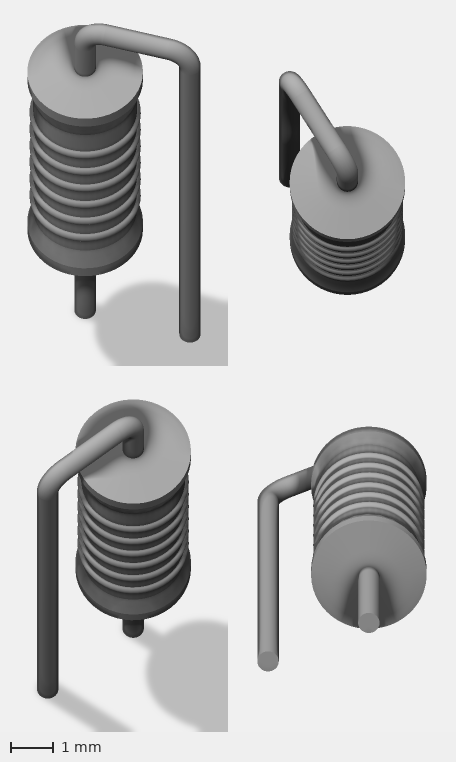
import cadquery as cq

wire_diameter = 0.5
lead_pitch = 2.54
bend_radius = 0.5
lead_bottom_z = -3.0
overall_height = 11.45
top_run_z = lead_bottom_z + overall_height - wire_diameter / 2

cap_diameter = 2.7
barrel_diameter = 2.43
cone_height = 0.15
cap_height = 0.315
flare_height = 0.525
barrel_length = 4.62
body_top_gap = 1.01
body_length = barrel_length + 2 * (flare_height + cap_height + cone_height)
body_top_z = top_run_z - bend_radius - body_top_gap
body_bottom_z = body_top_z - body_length
barrel_top_z = body_top_z - cone_height - cap_height - flare_height

band_count = 6
band_pitch = barrel_length / (band_count + 1)
band_width = 0.264
band_diameter = 2.6


def make_body():
    """Revolve the barrel with its flared end caps and shallow conical ends."""
    wire_radius = wire_diameter / 2
    cap_radius = cap_diameter / 2
    barrel_radius = barrel_diameter / 2
    cap_start_z = body_bottom_z + cone_height
    flare_start_z = cap_start_z + cap_height
    barrel_start_z = flare_start_z + flare_height
    flare_end_z = barrel_top_z + flare_height
    cap_end_z = flare_end_z + cap_height
    return (
        cq.Workplane("XZ")
        .moveTo(0, body_bottom_z)
        .lineTo(wire_radius, body_bottom_z)
        .lineTo(cap_radius, cap_start_z)
        .lineTo(cap_radius, flare_start_z)
        .lineTo(barrel_radius, barrel_start_z)
        .lineTo(barrel_radius, barrel_top_z)
        .lineTo(cap_radius, flare_end_z)
        .lineTo(cap_radius, cap_end_z)
        .lineTo(wire_radius, body_top_z)
        .lineTo(0, body_top_z)
        .close()
        .revolve(360, (0, 0, 0), (0, 1, 0))
    )


def make_band(top_z):
    """Rounded ring around the barrel whose upper edge lies at top_z."""
    barrel_radius = barrel_diameter / 2
    core_radius = wire_diameter / 2
    bottom_z = top_z - band_width
    return (
        cq.Workplane("XZ")
        .moveTo(core_radius, bottom_z)
        .lineTo(barrel_radius, bottom_z)
        .threePointArc((band_diameter / 2, top_z - band_width / 2), (barrel_radius, top_z))
        .lineTo(core_radius, top_z)
        .close()
        .revolve(360, (0, 0, 0), (0, 1, 0))
    )


def make_lead():
    """Sweep one wire up through the body, across and down to the second pin."""
    bend_z = top_run_z - bend_radius
    path = (
        cq.Workplane("XZ")
        .moveTo(0, lead_bottom_z)
        .lineTo(0, bend_z)
        .tangentArcPoint((bend_radius, top_run_z), relative=False)
        .lineTo(lead_pitch - bend_radius, top_run_z)
        .tangentArcPoint((lead_pitch, bend_z), relative=False)
        .lineTo(lead_pitch, lead_bottom_z)
    )
    return (
        cq.Workplane("XY", origin=(0, 0, lead_bottom_z))
        .circle(wire_diameter / 2)
        .sweep(path)
    )


body = make_body()
for band in range(band_count):
    body = body.union(make_band(barrel_top_z - (band + 1) * band_pitch))

result = body.union(make_lead())